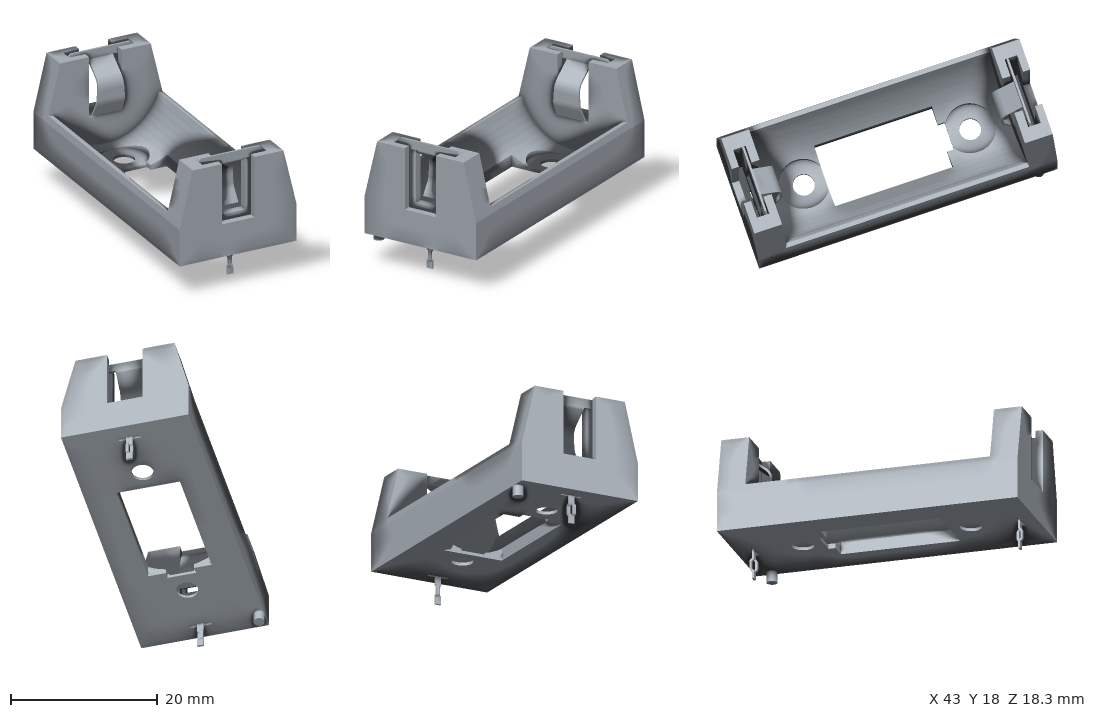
import cadquery as cq
import math

LENGTH = 43.0
WIDTH = 18.0
TOWER_HEIGHT = 14.0
TOWER_LENGTH = 4.0
TOWER_TOP_WIDTH = 13.98
KNEE_HEIGHT = 5.5
WALL_HEIGHT = 6.5

TROUGH_RADIUS = 8.5
TROUGH_AXIS_Z = 9.0

SCREW_X = 12.0
SCREW_HOLE_DIAMETER = 3.0
SCREW_SEAT_DIAMETER = 6.95
SCREW_SEAT_HEIGHT = 0.45

OPENING_LEFT = -8.0
OPENING_RIGHT = 9.0
OPENING_WIDTH = 8.95
NOTCH_DEPTH = 1.0
NOTCH_WIDTH = 4.0

POST_DIAMETER = 1.5
POST_LENGTH = 1.5

CLIP_X = 19.05
SHEET = 0.3
PLATE_WIDTH = 9.98
PLATE_TOP = 14.3
PLATE_CORNER = 0.45
PLATE_OPENING_WIDTH = 6.1
PLATE_OPENING_BOTTOM = 3.0

TONGUE_TOP_WIDTH = 3.8
TONGUE_END_WIDTH = 4.65
TONGUE_END_HEIGHT = 5.4
TONGUE_REACH = 3.1
TONGUE_ROOT_RADIUS = 0.2
TONGUE_UPPER_RADIUS = 2.1
TONGUE_LOWER_RADIUS = 1.8
TONGUE_SLOPE = math.radians(38)
TONGUE_RETURN = math.radians(27)
CONTACT_TOP = 9.45
CONTACT_BOTTOM = 8.05

PIN_WIDTH = 0.9
PIN_END = -4.0
EYELET_TOP = -1.05
EYELET_BOTTOM = -3.0
EYELET_OFFSET = 0.35
EYELET_RAMP = 0.5

SLOT_INNER_X = 18.65
SLOT_OUTER_X = 20.45
SLOT_FLOOR = 1.0
LEG_HOLE_WIDTH = 3.0
LEG_HOLE_THICKNESS = 0.5
WINDOW_WIDTH = 5.05
WINDOW_SILL = 4.95

TOWER_INNER_X = LENGTH / 2 - TOWER_LENGTH
POST_Y = (WIDTH - POST_DIAMETER) / 2


def block(x_range, y_width, z_range):
    """Box centred on Y that spans the given X and Z ranges."""
    x_low, x_high = x_range
    z_low, z_high = z_range
    size = (x_high - x_low, y_width, z_high - z_low)
    return cq.Workplane("XY").box(*size, centered=(False, True, False)).translate((x_low, 0, z_low))


def mirrored_pair(shape):
    """The shape and its mirror image at the other end of the holder."""
    return shape.union(shape.mirror("YZ"))


def housing_blank():
    """End towers with leaning sides, joined by low side walls."""
    profile = [
        (-WIDTH / 2, 0),
        (WIDTH / 2, 0),
        (WIDTH / 2, KNEE_HEIGHT),
        (TOWER_TOP_WIDTH / 2, TOWER_HEIGHT),
        (-TOWER_TOP_WIDTH / 2, TOWER_HEIGHT),
        (-WIDTH / 2, KNEE_HEIGHT),
    ]
    prism = cq.Workplane("YZ").polyline(profile).close().extrude(LENGTH / 2, both=True)
    between_towers = block((-TOWER_INNER_X, TOWER_INNER_X), WIDTH, (WALL_HEIGHT, TOWER_HEIGHT))
    return prism.cut(between_towers)


def trough():
    return (
        cq.Workplane("YZ")
        .center(0, TROUGH_AXIS_Z)
        .circle(TROUGH_RADIUS)
        .extrude(TOWER_INNER_X, both=True)
    )


def floor_opening():
    main = block((OPENING_LEFT, OPENING_RIGHT), OPENING_WIDTH, (0, WALL_HEIGHT))
    notch = block((OPENING_LEFT - NOTCH_DEPTH, OPENING_LEFT), NOTCH_WIDTH, (0, WALL_HEIGHT))
    return main.union(notch)


def screw_hole():
    """Counterbored screw hole on the left."""
    hole = cq.Workplane("XY").circle(SCREW_HOLE_DIAMETER / 2).extrude(WALL_HEIGHT)
    seat = (
        cq.Workplane("XY", origin=(0, 0, SCREW_SEAT_HEIGHT))
        .circle(SCREW_SEAT_DIAMETER / 2)
        .extrude(WALL_HEIGHT - SCREW_SEAT_HEIGHT)
    )
    return hole.union(seat).translate((-SCREW_X, 0, 0))


def clip_seat():
    """Slot for the plate, window for the tongue and hole for the leg in the left tower."""
    slot = block((-SLOT_OUTER_X, -SLOT_INNER_X), PLATE_WIDTH, (SLOT_FLOOR, TOWER_HEIGHT))
    window = block((-LENGTH / 2, -TOWER_INNER_X), WINDOW_WIDTH, (WINDOW_SILL, TOWER_HEIGHT))
    leg_hole = block(
        (-CLIP_X - LEG_HOLE_THICKNESS / 2, -CLIP_X + LEG_HOLE_THICKNESS / 2), LEG_HOLE_WIDTH, (0, SLOT_FLOOR)
    )
    return slot.union(window).union(leg_hole)


def locating_post():
    return cq.Workplane("XY").center(-CLIP_X, POST_Y).circle(POST_DIAMETER / 2).extrude(-POST_LENGTH)


def make_housing():
    return (
        housing_blank()
        .cut(trough())
        .cut(floor_opening())
        .cut(mirrored_pair(screw_hole()))
        .cut(mirrored_pair(clip_seat()))
        .union(locating_post())
    )


def arc_point(center, radius, angle):
    return (center[0] + radius * math.cos(angle), center[1] + radius * math.sin(angle))


UPPER_CENTER = (TONGUE_REACH - TONGUE_UPPER_RADIUS, CONTACT_TOP)
UPPER_START_ANGLE = math.pi / 2 - TONGUE_SLOPE
UPPER_START = arc_point(UPPER_CENTER, TONGUE_UPPER_RADIUS, UPPER_START_ANGLE)
ROOT_END_X = TONGUE_ROOT_RADIUS * (1 - math.sin(TONGUE_SLOPE))
ROOT_END_Z = UPPER_START[1] + (UPPER_START[0] - ROOT_END_X) * math.tan(TONGUE_SLOPE)
TONGUE_ROOT_Z = ROOT_END_Z + TONGUE_ROOT_RADIUS * math.cos(TONGUE_SLOPE)


def tongue():
    """Bent spring tongue that widens from the upper bend to its free end."""
    root_center = (TONGUE_ROOT_RADIUS, TONGUE_ROOT_Z)
    root_sweep = math.pi / 2 - TONGUE_SLOPE
    lower_center = (TONGUE_REACH - TONGUE_LOWER_RADIUS, CONTACT_BOTTOM)
    return_start = arc_point(lower_center, TONGUE_LOWER_RADIUS, -TONGUE_RETURN)
    return_drop = return_start[1] - TONGUE_END_HEIGHT
    path = (
        cq.Workplane("XZ")
        .moveTo(0, TONGUE_ROOT_Z)
        .threePointArc(
            arc_point(root_center, TONGUE_ROOT_RADIUS, math.pi + root_sweep / 2), (ROOT_END_X, ROOT_END_Z)
        )
        .lineTo(*UPPER_START)
        .threePointArc(
            arc_point(UPPER_CENTER, TONGUE_UPPER_RADIUS, UPPER_START_ANGLE / 2), (TONGUE_REACH, CONTACT_TOP)
        )
        .lineTo(TONGUE_REACH, CONTACT_BOTTOM)
        .threePointArc(arc_point(lower_center, TONGUE_LOWER_RADIUS, -TONGUE_RETURN / 2), return_start)
        .lineTo(return_start[0] - return_drop * math.tan(TONGUE_RETURN), TONGUE_END_HEIGHT)
    )
    strip = (
        cq.Workplane("XY", origin=(0, 0, TONGUE_ROOT_Z)).rect(SHEET, TONGUE_END_WIDTH).sweep(path)
    )
    top_half = TONGUE_TOP_WIDTH / 2
    end_half = TONGUE_END_WIDTH / 2
    end_z = TONGUE_END_HEIGHT - SHEET
    outline = [
        (-top_half, PLATE_TOP),
        (top_half, PLATE_TOP),
        (top_half, UPPER_START[1]),
        (end_half, end_z),
        (-end_half, end_z),
        (-top_half, UPPER_START[1]),
    ]
    envelope = cq.Workplane("YZ").polyline(outline).close().extrude(2 * TONGUE_REACH, both=True)
    return strip.intersect(envelope)


def plate():
    """Upright frame with chamfered top corners, open below the strip that carries the tongue."""
    sheet = block((-SHEET / 2, SHEET / 2), PLATE_WIDTH, (SLOT_FLOOR, PLATE_TOP))
    sheet = sheet.edges("|X and >Z").chamfer(PLATE_CORNER)
    opening = block((-SHEET, SHEET), PLATE_OPENING_WIDTH, (PLATE_OPENING_BOTTOM, TONGUE_ROOT_Z))
    return sheet.cut(opening)


def pin_half(y_center, shift):
    """Half the pin's width, bowed sideways by shift in two S-shaped ramps around the eyelet."""
    bow_top = EYELET_TOP - EYELET_RAMP
    bow_bottom = EYELET_BOTTOM + EYELET_RAMP
    path = (
        cq.Workplane("XZ")
        .moveTo(0, SLOT_FLOOR)
        .lineTo(0, EYELET_TOP)
        .tangentArcPoint((shift / 2, EYELET_TOP - EYELET_RAMP / 2), relative=False)
        .tangentArcPoint((shift, bow_top), relative=False)
        .lineTo(shift, bow_bottom)
        .tangentArcPoint((shift / 2, EYELET_BOTTOM + EYELET_RAMP / 2), relative=False)
        .tangentArcPoint((0, EYELET_BOTTOM), relative=False)
        .lineTo(0, PIN_END)
    )
    half = cq.Workplane("XY", origin=(0, 0, SLOT_FLOOR)).rect(SHEET, PIN_WIDTH / 2).sweep(path)
    return half.translate((0, y_center, 0))


def split_pin():
    return pin_half(-PIN_WIDTH / 4, -EYELET_OFFSET).union(pin_half(PIN_WIDTH / 4, EYELET_OFFSET))


def make_clip(side):
    """Contact clip seated in the left (side = -1) or right (side = 1) tower."""
    clip = plate().union(tongue()).union(split_pin()).translate((-CLIP_X, 0, 0))
    if side > 0:
        clip = clip.mirror("YZ")
    return clip


housing = make_housing()
clips = [make_clip(side) for side in (-1, 1)]

result = cq.Compound.makeCompound([housing.val(), *[clip.val() for clip in clips]])